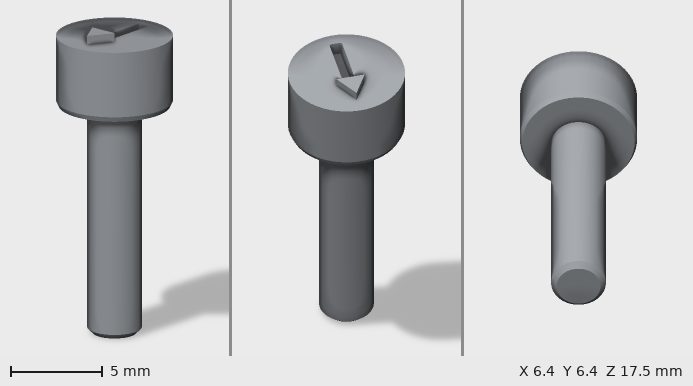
import cadquery as cq

total_height = 17.5
head_diameter = 6.4
pin_diameter = 3.0
raised_height = 0.5
pin_length = 13.0
head_top = total_height - raised_height

head_chamfer_height = 0.3
head_chamfer_width = 0.14
tip_chamfer = 0.3
neck_chamfer = 0.15

shaft_width = 0.7
shaft_end = 2.5
shaft_depth = 0.7
shaft_draft_angle = 7.0
shaft_corner_radius = 0.12
point_base = -0.93
point_tip = -2.31
point_width = 1.6


def make_body():
    """Revolve the pin and head about Z."""
    pin_radius = pin_diameter / 2
    head_radius = head_diameter / 2
    profile = [
        (0, 0),
        (pin_radius - tip_chamfer, 0),
        (pin_radius, tip_chamfer),
        (pin_radius, pin_length - neck_chamfer),
        (pin_radius - neck_chamfer, pin_length),
        (head_radius - head_chamfer_width, pin_length),
        (head_radius, pin_length + head_chamfer_height),
        (head_radius, head_top),
        (0, head_top),
    ]
    return cq.Workplane("XZ").polyline(profile).close().revolve(360, (0, 0, 0), (0, 1, 0))


def make_shaft_pocket():
    """Sunken arrow shaft with drafted walls, cut off square where the point begins."""
    shaft_length = shaft_end - point_base
    tapered_block = (
        cq.Workplane("XY", origin=(0, point_base, head_top))
        .sketch()
        .rect(shaft_width, 2 * shaft_length)
        .vertices()
        .fillet(shaft_corner_radius)
        .finalize()
        .extrude(-shaft_depth, taper=shaft_draft_angle)
    )
    far_half = (
        cq.Workplane("XY", origin=(0, point_base, head_top))
        .rect(shaft_width, shaft_length)
        .extrude(-shaft_depth)
        .translate((0, shaft_length / 2, 0))
    )
    return tapered_block.intersect(far_half)


def make_point():
    """Raised triangular arrow point."""
    corners = [
        (-point_width / 2, point_base),
        (point_width / 2, point_base),
        (0, point_tip),
    ]
    return cq.Workplane("XY", origin=(0, 0, head_top)).polyline(corners).close().extrude(raised_height)


result = make_body().cut(make_shaft_pocket()).union(make_point())